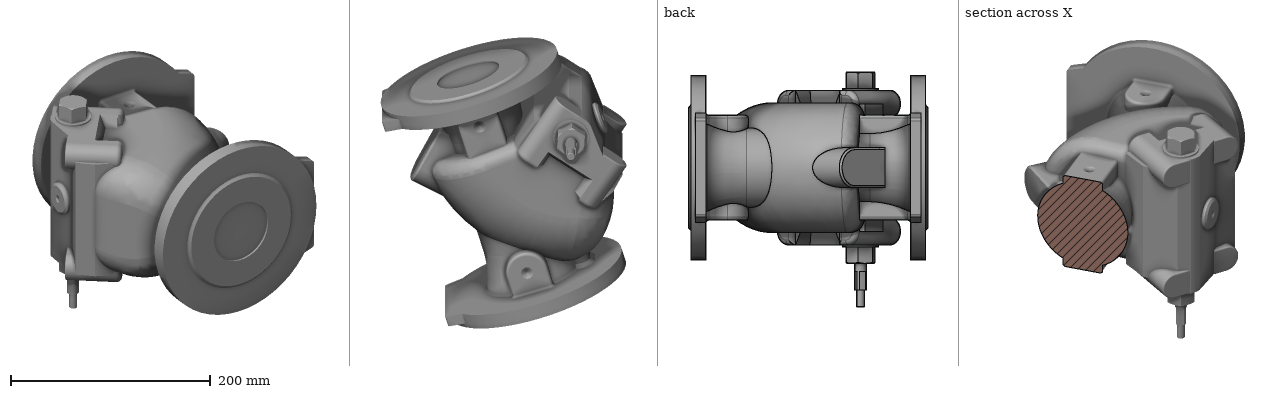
import cadquery as cq
import math

FACE_TO_FACE = 240.0
FLANGE_RADIUS = 185.0 / 2
FLANGE_THICKNESS = 15.0
RAISED_FACE_HEIGHT = 2.5
RAISED_FACE_BASE_RADIUS = 63.0
RAISED_FACE_RADIUS = 60.0
PORT_RADIUS = 65.0 / 2
PORT_DEPTH = 2.0
FLANGE_OUTER_X = FACE_TO_FACE / 2 - RAISED_FACE_HEIGHT
FLANGE_INNER_X = FLANGE_OUTER_X - FLANGE_THICKNESS
TAB_THICKNESS = 10.5
TAB_TOP_HALF_WIDTH = 49.0
TAB_FOOT_HALF_WIDTH = 55.0
TAB_FOOT_Y = 74.0
TAB_CORNER_RADIUS = 3.0
NECK_ROOT_RADIUS = 49.0
NECK_MID_X = 85.0
NECK_MID_RADIUS = 43.0
NECK_WAIST_X = 62.0
NECK_WAIST_RADIUS = 40.0

PAD_HALF_WIDTH = 21.0
PAD_HEIGHT = 52.5
PAD_CONE_X = 81.0
PAD_CONE_DIAMETER = 12.0
PAD_EDGE_RADIUS = 3.0
LEFT_PAD_END_X = -50.0
FLANGE_ROOT_RADIUS = 3.0
PAD_CONE_ANGLE = 118.0

STEM_X = -52.4
STEM_Y = -87.0
BODY_HALF_HEIGHT = 65.0
BODY_FLAT_RADIUS = 90.0
BODY_LEFT_EDGE_RADIUS = 14.0
BODY_SIDE_EDGE_RADIUS = 34.0
BODY_LEFT_FRONT = (-59.0, -66.0)
BODY_LEFT_BACK = (-44.0, 107.0)
BODY_SIDE_END = (98.0, -45.0)
SECTOR_FAR_X = STEM_X + BODY_FLAT_RADIUS + 2 * BODY_HALF_HEIGHT
BODY_SIDE_BULGE = (65.5, -89.0)
BODY_SIDE_START = (10.0, -110.0)

COVER_ANGLE = 51.0
COVER_COS = math.cos(math.radians(COVER_ANGLE))
COVER_SIN = math.sin(math.radians(COVER_ANGLE))
COVER_HALF_HEIGHT = 77.5
COVER_BACK = -74.5
COVER_STEP_RUN = 6.0
COVER_MIN_Y = -129.83
BOSS_RADIUS = 13.7
BOSS_Z = COVER_HALF_HEIGHT - BOSS_RADIUS
BOSS_BACK_RADIUS = 5.0
BOSS_FRONT_RADIUS = 1.5
LEFT_BOSS_OUTER = -20.0
LEFT_BOSS_INNER = 4.0
LEFT_FOOT_INNER = 13.0
LEFT_BOSS_FRONT = -123.0
LEFT_BOSS_BACK = -51.5
RIGHT_BOSS_OUTER = 80.0
RIGHT_BOSS_INNER = 58.0
RIGHT_FOOT_INNER = 52.0
RIGHT_BOSS_BACK = -46.5

CORE_HALF_HEIGHT = BODY_HALF_HEIGHT - 1.0
CORE_LEFT_BACK = (-75.0, -55.0)
CORE_LEFT_FRONT = (-75.0, -92.0)
FRONT_LEFT = (-68.0, -103.5)
FRONT_BEND = (-63.5, -107.0)
FRONT_FLAT_START = (-58.4, -109.2)
FRONT_FLAT_END = (-18.0, -111.9)
CORE_RIGHT_FRONT = (6.0, -123.0)
CORE_RIGHT_SIDE = (20.0, -109.0)
CORE_RIGHT_BACK = (29.0, -90.0)
CORE_BODY_RIGHT = (0.0, -50.0)
CORE_BODY_LEFT = (-57.0, -30.0)

HEX_CORNER_DIAMETER = 31.2
HEX_CORNER_ANGLE = COVER_ANGLE - 30.0
HEX_HEAD_HEIGHT = 16.5
HEX_CHAMFER_WIDTH = 2.0
HEX_CHAMFER_HEIGHT = 1.0
COLLAR_DIAMETER = 36.0
COLLAR_HEIGHT = 1.75
SHANK_DIAMETER = 12.0
SHANK_LENGTH = 27.0
SHANK_ROUND_LENGTH = 8.0
SHANK_FLATS = 10.0
TIP_DIAMETER = 8.0
TIP_CHAMFER = 0.5
STEM_END_Z = -139.5

BUTTON_X = -37.0
BUTTON_DIAMETER = 33.0
BUTTON_FACE_DIAMETER = 28.0
BUTTON_HEIGHT = 5.0
BUTTON_RIM_HEIGHT = 3.0
BUTTON_ROOT_DEPTH = 3.0
BUTTON_MARK_DIAMETER = 8.0
BUTTON_MARK_DEPTH = 3.0

NOSE_CORNER = (-32.5, 88.5)
NOSE_WIDTH = 65.0
NOSE_DEPTH = 60.0
NOSE_HALF_HEIGHT = 20.0
NOSE_CHAMFER = 2.0
BRIDGE_START_X = 82.0
BRIDGE_Y = -52.0
BRIDGE_HALF_WIDTH = 8.5
BRIDGE_HALF_HEIGHT = 17.0
BRIDGE_ROOT_FLARE = 4.0


def flange_end():
    """Half of the pipe line on the +X side: neck, flange, raised face and port recess."""
    end = (
        cq.Workplane("XY")
        .moveTo(0, 0)
        .lineTo(0, NECK_WAIST_RADIUS)
        .lineTo(NECK_WAIST_X, NECK_WAIST_RADIUS)
        .threePointArc((NECK_MID_X, NECK_MID_RADIUS), (FLANGE_INNER_X, NECK_ROOT_RADIUS))
        .lineTo(FLANGE_INNER_X, FLANGE_RADIUS)
        .lineTo(FLANGE_OUTER_X, FLANGE_RADIUS)
        .lineTo(FLANGE_OUTER_X, RAISED_FACE_BASE_RADIUS)
        .lineTo(FACE_TO_FACE / 2, RAISED_FACE_RADIUS)
        .lineTo(FACE_TO_FACE / 2, PORT_RADIUS)
        .lineTo(FACE_TO_FACE / 2 - PORT_DEPTH, PORT_RADIUS)
        .lineTo(FACE_TO_FACE / 2 - PORT_DEPTH, 0)
        .close()
        .revolve(360, (0, 0, 0), (1, 0, 0))
    )
    tab = (
        cq.Workplane("YZ", origin=(FLANGE_INNER_X, 0, 0))
        .polyline([
            (0, -TAB_FOOT_HALF_WIDTH),
            (TAB_FOOT_Y, -TAB_FOOT_HALF_WIDTH),
            (FLANGE_RADIUS, -TAB_TOP_HALF_WIDTH),
            (FLANGE_RADIUS, TAB_TOP_HALF_WIDTH),
            (TAB_FOOT_Y, TAB_FOOT_HALF_WIDTH),
            (0, TAB_FOOT_HALF_WIDTH),
        ])
        .close()
        .extrude(TAB_THICKNESS)
        .faces(">Y")
        .edges("|X")
        .fillet(TAB_CORNER_RADIUS)
    )
    return end.union(tab)


def right_pad():
    """Round-ended pad through the +X neck, standing out above and below."""
    length = FLANGE_INNER_X - PAD_CONE_X
    pad = (
        cq.Workplane("XY", origin=(PAD_CONE_X, 0, -PAD_HEIGHT))
        .moveTo(length, -PAD_HALF_WIDTH)
        .lineTo(length, PAD_HALF_WIDTH)
        .lineTo(0, PAD_HALF_WIDTH)
        .threePointArc((-PAD_HALF_WIDTH, 0), (0, -PAD_HALF_WIDTH))
        .close()
        .extrude(2 * PAD_HEIGHT)
    )
    return pad.faces("<Z or >Z").edges("not >X").fillet(PAD_EDGE_RADIUS)


def left_pad():
    """Straight pad through the -X neck, running from the flange into the body."""
    length = LEFT_PAD_END_X + FLANGE_INNER_X
    return (
        cq.Workplane("XY", origin=(-FLANGE_INNER_X + length / 2, 0, 0))
        .box(length, 2 * PAD_HALF_WIDTH, 2 * PAD_HEIGHT)
        .edges("|X")
        .fillet(PAD_EDGE_RADIUS)
    )


def round_flange_roots(half, sign):
    """Fillet the edges where a neck and its pad meet the inner face of the flange."""
    size = PAD_HEIGHT + 1
    x = sign * FLANGE_INNER_X
    root = cq.selectors.BoxSelector((x - 1, -size, -size), (x + 1, size, size), boundingbox=True)
    return half.edges(root).fillet(FLANGE_ROOT_RADIUS)


def pad_cone():
    """Conical centre mark going down into the upper +X pad."""
    radius = PAD_CONE_DIAMETER / 2
    depth = radius / math.tan(math.radians(PAD_CONE_ANGLE / 2))
    return (
        cq.Workplane("XZ")
        .polyline([(0, PAD_HEIGHT), (radius, PAD_HEIGHT), (0, PAD_HEIGHT - depth)])
        .close()
        .revolve(360, (0, 0, 0), (0, 1, 0))
        .translate((PAD_CONE_X, 0, 0))
    )


def body():
    """Sector of the round-edged disc with rounded left and side walls."""
    r0, h = BODY_FLAT_RADIUS, BODY_HALF_HEIGHT
    disc = (
        cq.Workplane("XZ")
        .moveTo(0, -h)
        .lineTo(r0, -h)
        .threePointArc((r0 + h, 0), (r0, h))
        .lineTo(0, h)
        .close()
        .revolve(360, (0, 0, 0), (0, 1, 0))
        .translate((STEM_X, STEM_Y, 0))
    )
    sector = (
        cq.Workplane("XY", origin=(0, 0, -h))
        .moveTo(*BODY_LEFT_FRONT)
        .lineTo(*BODY_LEFT_BACK)
        .lineTo(SECTOR_FAR_X, BODY_LEFT_BACK[1])
        .lineTo(SECTOR_FAR_X, BODY_SIDE_END[1])
        .lineTo(*BODY_SIDE_END)
        .threePointArc(BODY_SIDE_BULGE, BODY_SIDE_START)
        .close()
        .extrude(2 * h)
    )
    sharp = disc.intersect(sector)
    left_rounded = sharp.faces("<X").edges("not |Z").edges("not <Y").fillet(BODY_LEFT_EDGE_RADIUS)
    side_rim = cq.selectors.BoxSelector(
        (BODY_SIDE_START[0] + 1, BODY_SIDE_START[1], -2 * h),
        (BODY_SIDE_END[0], BODY_SIDE_END[1], 2 * h),
    )
    side_rounded = sharp.edges(side_rim).edges("not |Z").fillet(BODY_SIDE_EDGE_RADIUS)
    return left_rounded.intersect(side_rounded)


def cover_point(along, across):
    """Plan position of a point given along and across the slanted cover axis."""
    return (along * COVER_COS + across * COVER_SIN, along * COVER_SIN - across * COVER_COS)


def boss_block(outer, inner, front, back, z):
    """Bar along the cover axis, round on its outer side and square on its inner side."""
    side = math.copysign(1, inner - outer)
    start = cover_point(front, outer + side * BOSS_RADIUS)
    plane = cq.Plane(
        origin=(start[0], start[1], z),
        xDir=(side * COVER_SIN, -side * COVER_COS, 0),
        normal=(COVER_COS, COVER_SIN, 0),
    )
    reach = abs(inner - outer) - BOSS_RADIUS
    return (
        cq.Workplane(plane)
        .moveTo(reach, -BOSS_RADIUS)
        .lineTo(0, -BOSS_RADIUS)
        .threePointArc((-BOSS_RADIUS, 0), (0, BOSS_RADIUS))
        .lineTo(reach, BOSS_RADIUS)
        .close()
        .extrude(back - front)
    )


def bolt_boss(outer, inner, foot_inner, front, back, z):
    """Bolt boss with a rounded back end and a wider foot at the cover front."""
    axis = cq.Vector(COVER_COS, COVER_SIN, 0)
    backward = cq.selectors.DirectionMinMaxSelector(axis, True)
    frontward = cq.selectors.DirectionMinMaxSelector(axis, False)
    boss = boss_block(outer, inner, COVER_BACK, back, z).faces(backward).edges().fillet(BOSS_BACK_RADIUS)
    foot = boss_block(outer, foot_inner, front, COVER_BACK, z)
    front_rim = foot.faces(frontward).edges("not |Z")
    return boss.union(front_rim.fillet(BOSS_FRONT_RADIUS))


def cover_slab():
    """Full-height middle of the cover."""
    return (
        cq.Workplane("XY", origin=(0, 0, -COVER_HALF_HEIGHT))
        .moveTo(*cover_point(COVER_BACK, LEFT_BOSS_INNER))
        .lineTo(*CORE_LEFT_FRONT)
        .lineTo(*FRONT_LEFT)
        .threePointArc(FRONT_BEND, FRONT_FLAT_START)
        .lineTo(*FRONT_FLAT_END)
        .lineTo(*cover_point(COVER_BACK, RIGHT_BOSS_INNER))
        .close()
        .extrude(2 * COVER_HALF_HEIGHT)
    )


def notch_slopes():
    """Sloping walls that lead from the cover top down to the body on the notch's three sides."""
    left_front = (COVER_BACK, LEFT_BOSS_INNER)
    left_back = (LEFT_BOSS_BACK - BOSS_BACK_RADIUS, LEFT_BOSS_INNER)
    right_front = (COVER_BACK, RIGHT_BOSS_INNER)
    right_back = (RIGHT_BOSS_BACK - BOSS_BACK_RADIUS, RIGHT_BOSS_INNER)
    left = slope(left_back, left_front)
    middle = slope(left_front, right_front)
    right = slope(right_front, right_back)
    return left.union(middle).union(right)


def slope(start, end):
    """Ridge between two cover points, sloping off to the left of its path, above and below."""
    x0, y0 = cover_point(*start)
    x1, y1 = cover_point(*end)
    length = math.hypot(x1 - x0, y1 - y0)
    plane = cq.Plane(
        origin=(x0, y0, 0),
        xDir=(y0 - y1, x1 - x0, 0),
        normal=(x1 - x0, y1 - y0, 0),
    )
    return (
        cq.Workplane(plane)
        .polyline([
            (0, COVER_HALF_HEIGHT),
            (COVER_STEP_RUN, BODY_HALF_HEIGHT),
            (COVER_STEP_RUN, -BODY_HALF_HEIGHT),
            (0, -COVER_HALF_HEIGHT),
        ])
        .close()
        .extrude(length)
    )


def cover_core():
    """Lower plate between the upper and lower bosses, reaching back into the body."""
    return (
        cq.Workplane("XY", origin=(0, 0, -CORE_HALF_HEIGHT))
        .moveTo(*CORE_LEFT_BACK)
        .lineTo(*CORE_LEFT_FRONT)
        .lineTo(*FRONT_LEFT)
        .threePointArc(FRONT_BEND, FRONT_FLAT_START)
        .lineTo(*FRONT_FLAT_END)
        .lineTo(*CORE_RIGHT_FRONT)
        .lineTo(*CORE_RIGHT_SIDE)
        .lineTo(*CORE_RIGHT_BACK)
        .lineTo(*CORE_BODY_RIGHT)
        .lineTo(*CORE_BODY_LEFT)
        .close()
        .extrude(2 * CORE_HALF_HEIGHT)
    )


def cover():
    """Slab, core and notch slopes with the four bolt bosses."""
    whole = cover_slab().union(cover_core()).union(notch_slopes())
    rim_loss = BOSS_FRONT_RADIUS * (COVER_COS + COVER_SIN - 1)
    right_front = (COVER_MIN_Y - rim_loss + RIGHT_BOSS_OUTER * COVER_COS) / COVER_SIN
    for z in (-BOSS_Z, BOSS_Z):
        left = bolt_boss(
            LEFT_BOSS_OUTER, LEFT_BOSS_INNER, LEFT_FOOT_INNER, LEFT_BOSS_FRONT, LEFT_BOSS_BACK, z
        )
        right = bolt_boss(
            RIGHT_BOSS_OUTER, RIGHT_BOSS_INNER, RIGHT_FOOT_INNER, right_front, RIGHT_BOSS_BACK, z
        )
        whole = whole.union(left).union(right)
    return whole


def hexagon_plug():
    """Hexagon head on a low round collar, standing on the cover at the stem axis."""
    collar = cq.Workplane("XY").circle(COLLAR_DIAMETER / 2).extrude(COLLAR_HEIGHT)
    head = (
        cq.Workplane("XY", origin=(0, 0, COLLAR_HEIGHT))
        .transformed(rotate=(0, 0, HEX_CORNER_ANGLE))
        .polygon(6, HEX_CORNER_DIAMETER)
        .extrude(HEX_HEAD_HEIGHT)
    )
    height = COLLAR_HEIGHT + HEX_HEAD_HEIGHT
    envelope = (
        cq.Workplane("XY")
        .circle(HEX_CORNER_DIAMETER / 2)
        .extrude(height)
        .faces(">Z")
        .chamfer(HEX_CHAMFER_HEIGHT, HEX_CHAMFER_WIDTH)
    )
    return collar.union(head.intersect(envelope)).translate((STEM_X, STEM_Y, COVER_HALF_HEIGHT))


def stem():
    """Shank with a squared lower part and a thin round tip, hanging below the lower plug."""
    start_z = -(COVER_HALF_HEIGHT + COLLAR_HEIGHT + HEX_HEAD_HEIGHT)
    square_length = SHANK_LENGTH - SHANK_ROUND_LENGTH
    base = cq.Workplane("XY", origin=(STEM_X, STEM_Y, start_z))
    round_part = base.circle(SHANK_DIAMETER / 2).extrude(-SHANK_ROUND_LENGTH)
    square_base = base.workplane(offset=-SHANK_ROUND_LENGTH)
    square = (
        square_base
        .transformed(rotate=(0, 0, HEX_CORNER_ANGLE))
        .rect(SHANK_FLATS, SHANK_FLATS)
        .extrude(-square_length)
        .intersect(square_base.circle(SHANK_DIAMETER / 2).extrude(-square_length))
    )
    tip = base.circle(TIP_DIAMETER / 2).extrude(STEM_END_Z - start_z)
    return round_part.union(square).union(tip.faces("<Z").chamfer(TIP_CHAMFER))


def button():
    """Round button on the cover front with a tapered rim and a conical centre mark."""
    run = FRONT_FLAT_END[0] - FRONT_FLAT_START[0]
    drop = FRONT_FLAT_END[1] - FRONT_FLAT_START[1]
    front_y = FRONT_FLAT_START[1] + drop * (BUTTON_X - FRONT_FLAT_START[0]) / run
    outer, face = BUTTON_DIAMETER / 2, BUTTON_FACE_DIAMETER / 2
    return (
        cq.Workplane("XY")
        .polyline([
            (0, BUTTON_ROOT_DEPTH),
            (outer, BUTTON_ROOT_DEPTH),
            (outer, -BUTTON_RIM_HEIGHT),
            (face, -BUTTON_HEIGHT),
            (BUTTON_MARK_DIAMETER / 2, -BUTTON_HEIGHT),
            (0, BUTTON_MARK_DEPTH - BUTTON_HEIGHT),
        ])
        .close()
        .revolve(360, (0, 0, 0), (0, 1, 0))
        .rotate((0, 0, 0), (0, 0, 1), math.degrees(math.atan2(drop, run)))
        .translate((BUTTON_X, front_y, 0))
    )


def nose():
    """Flat lug at the back of the body with one round side, its end facing -X and +Y."""
    run, reach = NOSE_WIDTH - NOSE_HALF_HEIGHT, NOSE_HALF_HEIGHT
    c = math.sqrt(0.5)
    plane = cq.Plane(
        origin=(NOSE_CORNER[0] - reach * c, NOSE_CORNER[1] - reach * c, 0),
        xDir=(-c, -c, 0),
        normal=(c, -c, 0),
    )
    return (
        cq.Workplane(plane)
        .moveTo(run, -reach)
        .lineTo(0, -reach)
        .threePointArc((-reach, 0), (0, reach))
        .lineTo(run, reach)
        .close()
        .extrude(NOSE_DEPTH)
        .faces(cq.selectors.DirectionMinMaxSelector(cq.Vector(c, -c, 0), False))
        .edges()
        .chamfer(NOSE_CHAMFER)
    )


def bridge():
    """Short round-edged web joining the side of the body to the +X flange."""
    return (
        cq.Workplane("YZ", origin=(BRIDGE_START_X, BRIDGE_Y, 0))
        .slot2D(2 * BRIDGE_HALF_HEIGHT, 2 * BRIDGE_HALF_WIDTH, 90)
        .extrude(FLANGE_INNER_X - BRIDGE_START_X)
    )


def bridge_root():
    """Flared foot where the bridge meets the flange."""
    flare = BRIDGE_ROOT_FLARE
    return (
        cq.Workplane("YZ", origin=(FLANGE_INNER_X, BRIDGE_Y, 0))
        .slot2D(2 * (BRIDGE_HALF_HEIGHT + flare), 2 * (BRIDGE_HALF_WIDTH + flare), 90)
        .extrude(-flare, taper=45)
    )


def valve():
    """The complete valve as one solid."""
    inlet = round_flange_roots(flange_end().mirror("YZ").union(left_pad()), -1)
    outlet = round_flange_roots(flange_end().union(right_pad()), 1)
    part = body().union(cover()).union(nose()).union(bridge()).union(bridge_root()).union(button())
    plug = hexagon_plug()
    part = part.union(inlet).union(outlet)
    part = part.union(plug).union(plug.mirror("XY")).union(stem())
    mark = pad_cone()
    marks = mark.union(mark.mirror("YZ"))
    return part.cut(marks).cut(marks.mirror("XY"))


result = valve()